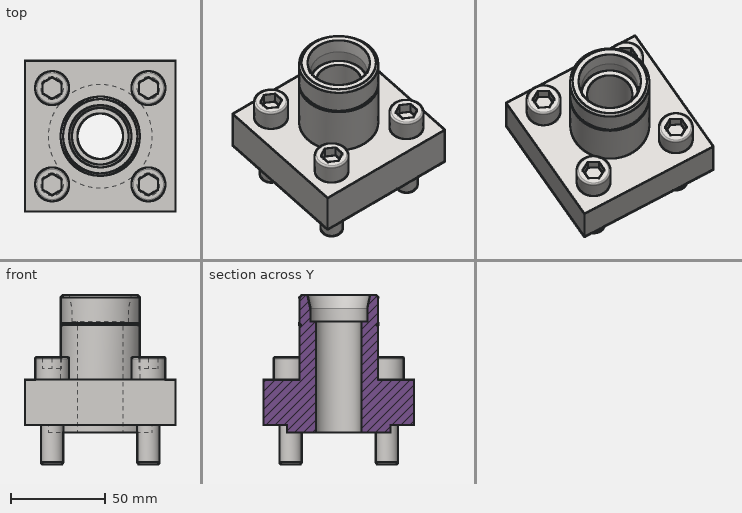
import cadquery as cq
import math

flange_side = 80.0
flange_thickness = 24.0

spigot_diameter = 55.0
spigot_height = 4.0

socket_diameter = 42.0
socket_height = 45.0
socket_chamfer = 1.35
groove_distance_from_top = 15.0
groove_size = 1.0

through_diameter = 24.0
counterbore_diameter = 30.0
counterbore_depth = 14.0
cone_mouth_diameter = 33.0
cone_half_angle = 12.0

screw_spacing = 51.0
shank_diameter = 12.0
shank_projection = 21.0
tip_chamfer_height = 1.35
tip_chamfer_width = 0.9
head_diameter = 18.0
head_height = 12.0
head_fillet = 1.0
hex_across_flats = 10.0
hex_depth = 6.0

socket_top = flange_thickness + socket_height


def make_body():
    """Flange with its spigot and socket, before boring."""
    flange = cq.Workplane("XY").box(
        flange_side, flange_side, flange_thickness, centered=(True, True, False)
    )
    spigot = cq.Workplane("XY").circle(spigot_diameter / 2).extrude(-spigot_height)
    socket = cq.Workplane("XY").circle(socket_diameter / 2).extrude(socket_top)
    socket = socket.faces(">Z").chamfer(socket_chamfer)
    return flange.union(spigot).union(socket.cut(make_groove()))


def make_groove():
    """Ring with a flat lower face and a sloping upper face."""
    radius = socket_diameter / 2
    upper_z = socket_top - groove_distance_from_top
    lower_z = upper_z - groove_size
    profile = [(radius - groove_size, lower_z), (radius, lower_z), (radius, upper_z)]
    return cq.Workplane("XZ").polyline(profile).close().revolve()


def make_bore():
    """Stepped bore with a conical mouth, turned about the Z axis."""
    through_radius = through_diameter / 2
    counterbore_radius = counterbore_diameter / 2
    mouth_radius = cone_mouth_diameter / 2
    cone_depth = (mouth_radius - counterbore_radius) / math.tan(math.radians(cone_half_angle))
    floor_z = socket_top - counterbore_depth
    profile = [
        (0, -spigot_height),
        (through_radius, -spigot_height),
        (through_radius, floor_z),
        (counterbore_radius, floor_z),
        (counterbore_radius, socket_top - cone_depth),
        (mouth_radius, socket_top),
        (0, socket_top),
    ]
    return cq.Workplane("XZ").polyline(profile).close().revolve()


def make_screw():
    """Screw on the Z axis, with its head seated on top of the flange."""
    shank = (
        cq.Workplane("XY", origin=(0, 0, -shank_projection))
        .circle(shank_diameter / 2)
        .extrude(shank_projection + flange_thickness)
        .faces("<Z")
        .chamfer(tip_chamfer_height, tip_chamfer_width)
    )
    head = (
        cq.Workplane("XY", origin=(0, 0, flange_thickness))
        .circle(head_diameter / 2)
        .extrude(head_height)
        .faces(">Z")
        .edges()
        .fillet(head_fillet)
    )
    hex_corner_diameter = hex_across_flats / math.cos(math.pi / 6)
    hex_socket = (
        cq.Workplane("XY", origin=(0, 0, flange_thickness + head_height))
        .transformed(rotate=(0, 0, 30))
        .polygon(6, hex_corner_diameter)
        .extrude(-hex_depth)
    )
    return shank.union(head).cut(hex_socket)


result = make_body().cut(make_bore())
screw = make_screw()
for x_side in (-1, 1):
    for y_side in (-1, 1):
        position = (x_side * screw_spacing / 2, y_side * screw_spacing / 2, 0)
        result = result.union(screw.translate(position))